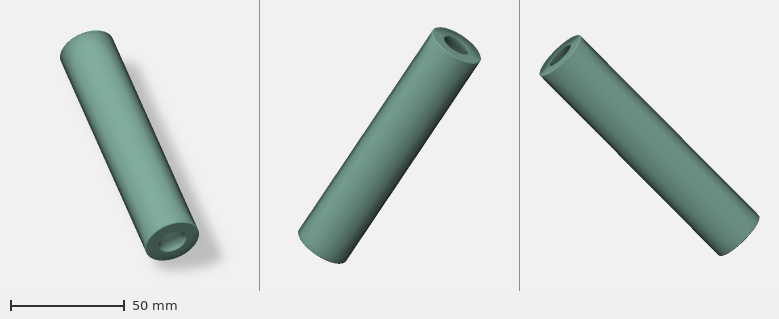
import cadquery as cq

length = 115.6
outer_diameter = 25.0
bore_diameter = 12.6

edge_chamfer = 0.29

tube = (
    cq.Workplane("YZ", origin=(-length / 2, 0, 0))
    .circle(outer_diameter / 2)
    .circle(bore_diameter / 2)
    .extrude(length)
)

result = tube.faces("<X or >X").edges().chamfer(edge_chamfer)